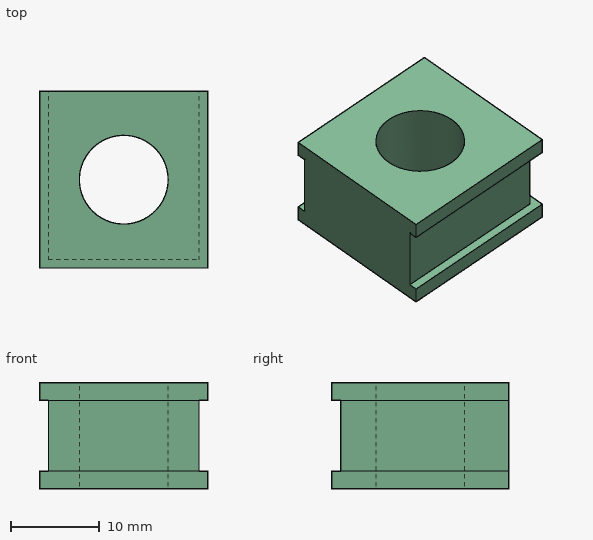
import cadquery as cq

width = 19.0
depth = 20.0
height = 12.0

flange_thickness = 2.0
groove_depth = 1.0
bore_diameter = 10.0

core_width = width - 2 * groove_depth
core_depth = depth - groove_depth
core_height = height - 2 * flange_thickness


def flange(center_z):
    """Rectangular plate at one end of the block."""
    return cq.Workplane("XY").box(width, depth, flange_thickness).translate((0, 0, center_z))


flange_center_z = (height - flange_thickness) / 2
core = cq.Workplane("XY").box(core_width, core_depth, core_height).translate((0, groove_depth / 2, 0))
body = core.union(flange(flange_center_z)).union(flange(-flange_center_z))

bore = cq.Workplane("XY").circle(bore_diameter / 2).extrude(height).translate((0, 0, -height / 2))
result = body.cut(bore)